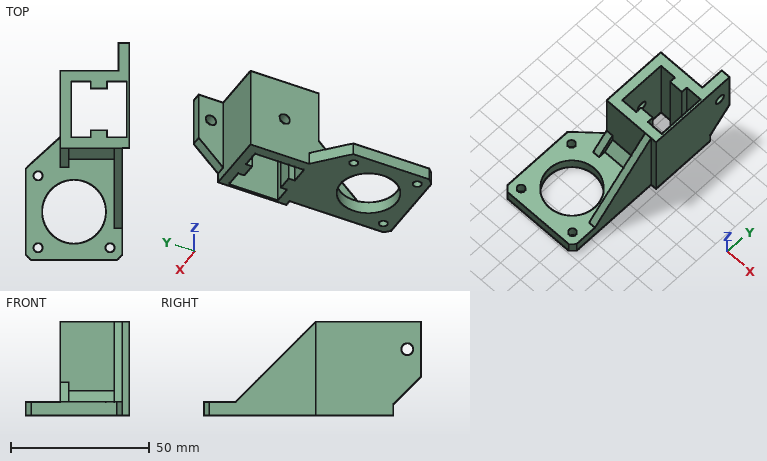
import cadquery as cq

plate_size = 35.0
plate_thickness = 5.0
corner_cut = 2.0
motor_bore_diameter = 23.0
screw_diameter = 3.2
screw_spacing = 26.0
plate_center = plate_size / 2

height = 34.0
socket_bore = 20.0
thick_wall = 4.0
thin_wall = 1.0
socket_left = 12.5
socket_front = 40.5
socket_right = socket_left + thick_wall + socket_bore + thin_wall
socket_back = socket_front + socket_bore + 2 * thick_wall
bore_left = socket_left + thick_wall
bore_front = socket_front + thick_wall
bore_back = bore_front + socket_bore
bore_center_x = bore_left + socket_bore / 2
bore_center_y = bore_front + socket_bore / 2
key_width = 6.0
key_depth = 2.5
cross_hole_diameter = 4.2

ear_thickness = 4.0
ear_length = 10.0
ear_edge_height = 20.0
ear_hole_diameter = 4.2

brace_thickness = 3.0
tall_brace_leg = height - plate_thickness
short_brace_leg = 7.0
wedge_leg = 4.0


def block(x_min, x_max, y_min, y_max, z_max):
    """Box standing on Z = 0."""
    return (
        cq.Workplane("XY")
        .box(x_max - x_min, y_max - y_min, z_max, centered=False)
        .translate((x_min, y_min, 0))
    )


def side_profile(points, x_min, thickness):
    """Slab with a (Y, Z) outline, extruded toward +X from x_min."""
    return cq.Workplane("YZ", origin=(x_min, 0, 0)).polyline(points).close().extrude(thickness)


def make_plate():
    """Plate with clipped corners that widens back into the socket."""
    outline = [
        (corner_cut, 0),
        (plate_size - corner_cut, 0),
        (plate_size, corner_cut),
        (plate_size, bore_front),
        (socket_left, bore_front),
        (corner_cut, plate_size),
        (0, plate_size - corner_cut),
        (0, corner_cut),
    ]
    return cq.Workplane("XY").polyline(outline).close().extrude(plate_thickness)


def make_ear():
    """Upright ear flush with the right face, its lower edge sloping at 45 degrees."""
    edge_bottom = height - ear_edge_height
    outline = [
        (socket_back, height),
        (socket_back + ear_length, height),
        (socket_back + ear_length, edge_bottom),
        (socket_back, edge_bottom - ear_length),
    ]
    return side_profile(outline, socket_right - ear_thickness, ear_thickness)


def make_brace(x_min, thickness, leg):
    """45 degree brace standing on the plate against the socket front."""
    outline = [
        (socket_front, plate_thickness),
        (socket_front - leg, plate_thickness),
        (socket_front, plate_thickness + leg),
    ]
    return side_profile(outline, x_min, thickness)


def make_socket_bore():
    """Square through opening less the two guide keys on its front and back walls."""
    bore = block(bore_left, bore_left + socket_bore, bore_front, bore_back, height)
    key_left = bore_center_x - key_width / 2
    key_right = key_left + key_width
    front_key = block(key_left, key_right, bore_front, bore_front + key_depth, height)
    back_key = block(key_left, key_right, bore_back - key_depth, bore_back, height)
    return bore.cut(front_key).cut(back_key)


def make_plate_holes():
    """Motor bore and three screw holes; the corner beside the tall brace has none."""
    near = plate_center - screw_spacing / 2
    far = plate_center + screw_spacing / 2
    bore = (
        cq.Workplane("XY")
        .center(plate_center, plate_center)
        .circle(motor_bore_diameter / 2)
        .extrude(plate_thickness)
    )
    screws = (
        cq.Workplane("XY")
        .pushPoints([(near, near), (far, near), (near, far)])
        .circle(screw_diameter / 2)
        .extrude(plate_thickness)
    )
    return bore.union(screws)


def make_x_hole(x_min, y, z, diameter, length):
    """Cylinder along +X."""
    return cq.Workplane("YZ", origin=(x_min, y, z)).circle(diameter / 2).extrude(length)


tall_brace_left = plate_size - brace_thickness
short_brace_right = socket_left + brace_thickness
ear_hole_y = socket_back + ear_length / 2
ear_hole_z = height - ear_edge_height / 2

ear_hole = make_x_hole(
    socket_right - ear_thickness, ear_hole_y, ear_hole_z, ear_hole_diameter, ear_thickness
)
cross_hole = make_x_hole(
    socket_left, bore_center_y, height / 2, cross_hole_diameter, thick_wall
)

result = (
    make_plate()
    .union(block(socket_left, socket_right, socket_front, socket_back, height))
    .union(make_ear())
    .union(make_brace(tall_brace_left, brace_thickness, tall_brace_leg))
    .union(make_brace(socket_left, brace_thickness, short_brace_leg))
    .union(make_brace(short_brace_right, tall_brace_left - short_brace_right, wedge_leg))
    .cut(make_socket_bore())
    .cut(make_plate_holes())
    .cut(ear_hole)
    .cut(cross_hole)
)